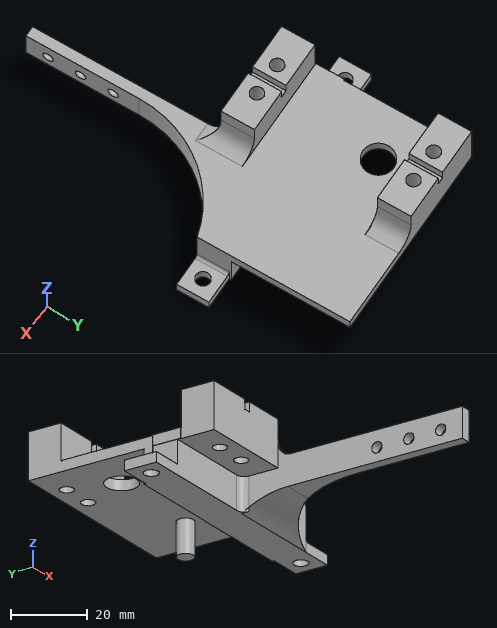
import cadquery as cq
import math

TURN_ANGLE = 2.6

PLATE_WIDTH = 59.8
PLATE_DEPTH = 58.7
PLATE_BOTTOM = 10.2
PLATE_TOP = 13.3
BIG_HOLE_DIAMETER = 9.5
BIG_HOLE_X = 15.0
PIN_DIAMETER = 5.0
PIN_X = PLATE_WIDTH - BIG_HOLE_X
HOLE_AND_PIN_Y = 39.3

BLOCK_LENGTH = 29.8
BLOCK_DEPTH = 10.4
BLOCK_TOP = 24.2
GROOVE_X = 15.4
GROOVE_WIDTH = 2.1
GROOVE_DEPTH = 3.0
BLOCK_HOLE_DIAMETER = 4.0
BLOCK_HOLE_OFFSET = 5.0
BLOCK_FILLET = 6.0
CORNER_FILLET = 4.0

WEB_FRONT = 11.5
WEB_BACK = 22.1
TAB_LENGTH = 10.0
TAB_DEPTH = 10.0
TAB_THICKNESS = 3.1
TAB_HOLE_DIAMETER = 4.3
TAB_HOLE_INSET = 5.1
TAB_FILLET = 1.0
PLATE_PAD = 0.4
WEB_PAD = 0.2
PAD_BACK = 19.3

ARM_LEFT = BLOCK_LENGTH
ARM_WIDTH = 3.3
ARM_TIP = -58.1
ARM_BOTTOM = 4.1
ARM_CURVE_START = -23.2
ARM_RAMP_START = -3.1
ARM_FILLET = 2.4
ARM_HOLE_DIAMETER = 3.2
ARM_HOLE_SPACING = 10.0
ARM_HOLE_COUNT = 3
ARM_HOLE_TIP_INSET = 6.9
ARM_HOLE_Z = 8.3


def box(x_range, y_range, z_range):
    """Box spanning the given (low, high) ranges."""
    low, high = zip(x_range, y_range, z_range)
    size = [b - a for a, b in zip(low, high)]
    return cq.Workplane("XY").box(*size, centered=False).translate(low)


def cylinder(x, y, diameter, z_range):
    """Vertical cylinder."""
    bottom, top = z_range
    return cq.Workplane("XY", origin=(x, y, bottom)).circle(diameter / 2).extrude(top - bottom)


def concave_profile(plane, origin, u_size, v_size):
    """Quarter-round corner filler; signed sizes give the direction of each leg."""
    near = 1 - math.sqrt(0.5)
    return (
        cq.Workplane(plane, origin=origin)
        .lineTo(u_size, 0)
        .threePointArc((u_size * near, v_size * near), (0, v_size))
        .close()
    )


def make_plate():
    thickness = (PLATE_BOTTOM, PLATE_TOP)
    plate = box((0, PLATE_WIDTH), (WEB_FRONT, PLATE_DEPTH), thickness)
    plate = plate.union(box((0, ARM_LEFT), (BLOCK_DEPTH, WEB_FRONT), thickness))
    plate = plate.cut(cylinder(BIG_HOLE_X, HOLE_AND_PIN_Y, BIG_HOLE_DIAMETER, thickness))
    return plate.union(cylinder(PIN_X, HOLE_AND_PIN_Y, PIN_DIAMETER, (0, PLATE_TOP)))


def make_block(front):
    back = front + BLOCK_DEPTH
    block = box((0, BLOCK_LENGTH), (front, back), (PLATE_BOTTOM, BLOCK_TOP))
    groove = (GROOVE_X - GROOVE_WIDTH / 2, GROOVE_X + GROOVE_WIDTH / 2)
    block = block.cut(box(groove, (front, back), (BLOCK_TOP - GROOVE_DEPTH, BLOCK_TOP)))
    return block.union(end_fillet(front, back))


def make_block_holes(front):
    """Pair of cutters, one on each side of the groove."""
    y = front + BLOCK_DEPTH / 2
    depth = (PLATE_BOTTOM, BLOCK_TOP)
    left, right = (cylinder(GROOVE_X + side * BLOCK_HOLE_OFFSET, y, BLOCK_HOLE_DIAMETER, depth)
                   for side in (-1, 1))
    return left.union(right)


def end_fillet(front, back):
    """Concave round between the right end of a block and the plate."""
    start = (BLOCK_LENGTH, back, PLATE_TOP)
    return concave_profile("XZ", start, BLOCK_FILLET, BLOCK_FILLET).extrude(back - front)


def make_corner_fillet():
    """Mitred continuation of the front block's round over the arm."""
    along_end = end_fillet(-CORNER_FILLET, 0)
    start = (BLOCK_LENGTH, 0, PLATE_TOP)
    along_front = concave_profile("YZ", start, -CORNER_FILLET, CORNER_FILLET).extrude(BLOCK_FILLET)
    return along_end.intersect(along_front)


def make_arm():
    outline = (
        cq.Workplane("XY")
        .moveTo(PLATE_WIDTH, WEB_FRONT)
        .lineTo(ARM_LEFT, WEB_FRONT)
        .lineTo(ARM_LEFT, ARM_TIP)
        .lineTo(ARM_LEFT + ARM_WIDTH, ARM_TIP)
        .lineTo(ARM_LEFT + ARM_WIDTH, ARM_CURVE_START)
        .tangentArcPoint((PLATE_WIDTH, WEB_FRONT), relative=False)
        .close()
        .extrude(PLATE_TOP)
    )
    side = (
        cq.Workplane("YZ")
        .moveTo(ARM_TIP, PLATE_TOP)
        .lineTo(ARM_TIP, ARM_BOTTOM)
        .lineTo(ARM_RAMP_START, ARM_BOTTOM)
        .tangentArcPoint((WEB_FRONT, 0), relative=False)
        .lineTo(WEB_FRONT, PLATE_TOP)
        .close()
        .extrude(PLATE_WIDTH)
    )
    arm = outline.intersect(side)
    corner = (ARM_LEFT, WEB_FRONT, 0)
    arm = arm.union(concave_profile("XY", corner, -ARM_FILLET, -ARM_FILLET).extrude(PLATE_BOTTOM))
    for i in range(ARM_HOLE_COUNT):
        y = ARM_TIP + ARM_HOLE_TIP_INSET + i * ARM_HOLE_SPACING
        hole = cq.Workplane("YZ", origin=(ARM_LEFT, y, ARM_HOLE_Z)).circle(ARM_HOLE_DIAMETER / 2)
        arm = arm.cut(hole.extrude(ARM_WIDTH))
    return arm


def make_web():
    tab_back = WEB_FRONT + TAB_DEPTH
    tab_y = WEB_FRONT + TAB_DEPTH / 2
    web = box((0, PLATE_WIDTH), (WEB_FRONT, WEB_BACK), (0, PLATE_BOTTOM))
    tab_span = (-TAB_LENGTH, PLATE_WIDTH + TAB_LENGTH)
    web = web.union(box(tab_span, (WEB_FRONT, tab_back), (0, TAB_THICKNESS)))
    web = web.union(box((-PLATE_PAD, 0), (BLOCK_DEPTH, PAD_BACK), (PLATE_BOTTOM, PLATE_TOP)))
    web = web.union(box((-WEB_PAD, 0), (WEB_FRONT, PAD_BACK), (0, PLATE_BOTTOM)))
    left_start = (0, tab_back, TAB_THICKNESS)
    left_round = concave_profile("XZ", left_start, -TAB_FILLET, TAB_FILLET).extrude(tab_back - PAD_BACK)
    right_start = (PLATE_WIDTH, tab_back, TAB_THICKNESS)
    right_round = concave_profile("XZ", right_start, TAB_FILLET, TAB_FILLET).extrude(TAB_DEPTH)
    web = web.union(left_round).union(right_round)
    for x in (TAB_HOLE_INSET - TAB_LENGTH, PLATE_WIDTH + TAB_LENGTH - TAB_HOLE_INSET):
        web = web.cut(cylinder(x, tab_y, TAB_HOLE_DIAMETER, (0, TAB_THICKNESS)))
    return web


part = make_plate().union(make_web()).union(make_arm())
for block_front in (0, PLATE_DEPTH - BLOCK_DEPTH):
    part = part.union(make_block(block_front)).cut(make_block_holes(block_front))
part = part.union(make_corner_fillet())
result = part.rotate((0, 0, 0), (0, 0, 1), TURN_ANGLE)